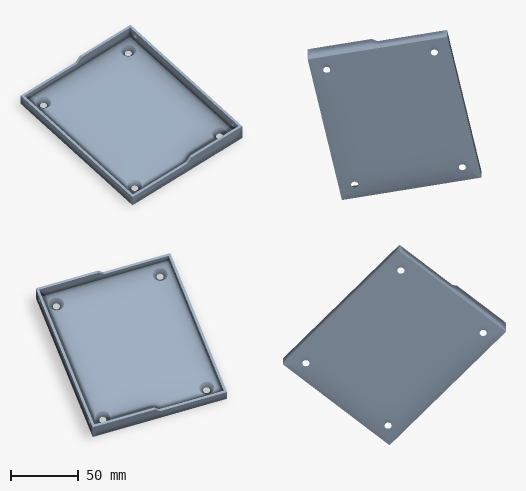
import cadquery as cq

length = 129.5
width = 104.5
height = 13.0
wall = 2.0
floor = 3.0

rim_drop = 4.0
front_height = height - rim_drop

screw_inset = 11.9
screw_diameter = 5.0
countersink_diameter = 11.1
countersink_angle = 90.0

wall_hole_diameter = 3.6
wall_hole_inset = 8.0


def tray_body():
    """Side profile extruded along X, then hollowed from above."""
    profile = [
        (-width / 2, 0),
        (width / 2, 0),
        (width / 2, height),
        (rim_drop, height),
        (0, front_height),
        (-width / 2, front_height),
    ]
    block = cq.Workplane("YZ").polyline(profile).close().extrude(length / 2, both=True)
    cavity = (
        cq.Workplane("XY", origin=(0, 0, floor))
        .rect(length - 2 * wall, width - 2 * wall)
        .extrude(height)
    )
    return block.cut(cavity)


def cut_screw_holes(body):
    return (
        body.copyWorkplane(cq.Workplane("XY", origin=(0, 0, floor)))
        .rect(length - 2 * screw_inset, width - 2 * screw_inset, forConstruction=True)
        .vertices()
        .cskHole(screw_diameter, countersink_diameter, countersink_angle)
    )


def cut_wall_holes(body):
    hole_x = length / 2 - wall_hole_inset
    drills = (
        cq.Workplane("XZ", origin=(0, width / 2, front_height))
        .pushPoints([(-hole_x, 0), (hole_x, 0)])
        .circle(wall_hole_diameter / 2)
        .extrude(wall)
    )
    return body.cut(drills)


result = cut_wall_holes(cut_screw_holes(tray_body()))